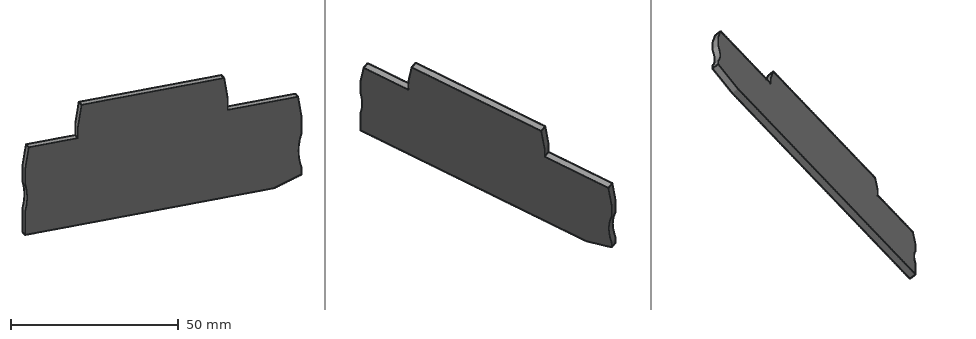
import cadquery as cq

thickness = 2.2
length = 89.55
height = 39.85

shoulder_height = 29.0
tower_front = 17.1
tower_width = 48.5
taper_drop = 7.1
taper_inset = 1.2

corner_rise = 2.9
corner_run = 8.95

front_recess_middle = 12.45
front_recess_chord = 9.2
front_recess_depth = 0.6
back_recess_middle = 10.9
back_recess_chord = 11.6
back_recess_depth = 1.0

front = -length / 2
back = length / 2
tower_start = front + tower_front
tower_end = tower_start + tower_width
body_taper_base = shoulder_height - taper_drop
tower_taper_base = height - taper_drop

front_half_chord = front_recess_chord / 2
back_half_chord = back_recess_chord / 2

outline = (
    cq.Workplane("YZ", origin=(-thickness / 2, 0, -height / 2))
    .moveTo(front, 0)
    .lineTo(front, front_recess_middle - front_half_chord)
    .threePointArc(
        (front + front_recess_depth, front_recess_middle),
        (front, front_recess_middle + front_half_chord),
    )
    .lineTo(front, body_taper_base)
    .lineTo(front + taper_inset, shoulder_height)
    .lineTo(tower_start, shoulder_height)
    .lineTo(tower_start, tower_taper_base)
    .lineTo(tower_start + taper_inset, height)
    .lineTo(tower_end - taper_inset, height)
    .lineTo(tower_end, tower_taper_base)
    .lineTo(tower_end, shoulder_height)
    .lineTo(back - taper_inset, shoulder_height)
    .lineTo(back, body_taper_base)
    .lineTo(back, back_recess_middle + back_half_chord)
    .threePointArc(
        (back - back_recess_depth, back_recess_middle),
        (back, back_recess_middle - back_half_chord),
    )
    .lineTo(back, corner_rise)
    .lineTo(back - corner_run, 0)
    .close()
)

result = outline.extrude(thickness)